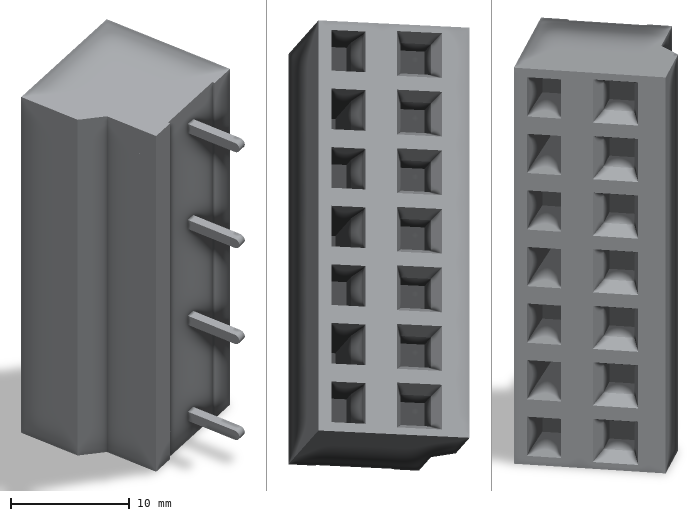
import cadquery as cq
import math

BLOCK_DEPTH = 12.48
BLOCK_WIDTH = 13.0
BLOCK_HEIGHT = 35.55

POLE_COUNT = 7
POLE_PITCH = BLOCK_HEIGHT / POLE_COUNT
TOP_Z = BLOCK_HEIGHT / 2
END_POLE_Z = (POLE_COUNT - 1) / 2 * POLE_PITCH

STEP_HEIGHT = 1.78
STEP_START = 5.73

CHANNEL_DEPTH = 0.2
CHANNEL_Y_MIN = 3.9
CHANNEL_Y_MAX = 10.67

WIRE_Y = 4.3
WIRE_MOUTH = 3.88
WIRE_BORE = 2.63
WIRE_FUNNEL_DEPTH = 1.65
WIRE_DEPTH = 4.25

SLOT_HEIGHT = 3.52
SLOT_Y_MIN = 8.95
SLOT_Y_MAX = 11.88
SLOT_LIP = 1.17
SLOT_RAMP_INSET = 0.4
SLOT_RAMP_ANGLE = 7.5
SLOT_DRAFT_ANGLE = 2.0
PINNED_SLOT_DEPTH = 6.05
PLAIN_SLOT_DEPTH = 10.67

PIN_SPACING = 2
PIN_Y = 7.33
PIN_WIDTH = 0.82
PIN_HEIGHT = 0.95
PIN_TIP_X = 17.5


def block():
    step_end = STEP_START + STEP_HEIGHT
    channel_x = BLOCK_DEPTH - CHANNEL_DEPTH
    outline = [
        (0, 0),
        (STEP_START, 0),
        (step_end, STEP_HEIGHT),
        (BLOCK_DEPTH, STEP_HEIGHT),
        (BLOCK_DEPTH, CHANNEL_Y_MIN),
        (channel_x, CHANNEL_Y_MIN),
        (channel_x, CHANNEL_Y_MAX),
        (BLOCK_DEPTH, CHANNEL_Y_MAX),
        (BLOCK_DEPTH, BLOCK_WIDTH),
        (0, BLOCK_WIDTH),
    ]
    return cq.Workplane("XY").polyline(outline).close().extrude(TOP_Z, both=True)


def wire_entry(z):
    mouth = cq.Workplane("YZ").center(WIRE_Y, z)
    funnel = (
        mouth.rect(WIRE_MOUTH, WIRE_MOUTH)
        .workplane(offset=WIRE_FUNNEL_DEPTH)
        .rect(WIRE_BORE, WIRE_BORE)
        .loft(ruled=True)
    )
    bore = mouth.rect(WIRE_BORE, WIRE_BORE).extrude(WIRE_DEPTH)
    return funnel.union(bore)


def release_slot(z, depth):
    ramp_end = SLOT_LIP + SLOT_RAMP_INSET / math.tan(math.radians(SLOT_RAMP_ANGLE))
    floor_y_min = SLOT_Y_MIN + SLOT_RAMP_INSET
    floor_y_max = SLOT_Y_MAX - (depth - SLOT_LIP) * math.tan(math.radians(SLOT_DRAFT_ANGLE))
    outline = [
        (0, SLOT_Y_MIN),
        (SLOT_LIP, SLOT_Y_MIN),
        (ramp_end, floor_y_min),
        (depth, floor_y_min),
        (depth, floor_y_max),
        (SLOT_LIP, SLOT_Y_MAX),
        (0, SLOT_Y_MAX),
    ]
    centre_plane = cq.Workplane("XY", origin=(0, 0, z))
    return centre_plane.polyline(outline).close().extrude(SLOT_HEIGHT / 2, both=True)


def solder_pin(z):
    tip_radius = PIN_HEIGHT / 2
    shank_start = BLOCK_DEPTH - CHANNEL_DEPTH
    return (
        cq.Workplane("XZ", origin=(0, PIN_Y, z))
        .moveTo(shank_start, -tip_radius)
        .lineTo(PIN_TIP_X - tip_radius, -tip_radius)
        .threePointArc((PIN_TIP_X, 0), (PIN_TIP_X - tip_radius, tip_radius))
        .lineTo(shank_start, tip_radius)
        .close()
        .extrude(PIN_WIDTH / 2, both=True)
    )


def terminal_strip():
    strip = block()
    for pole in range(POLE_COUNT):
        z = pole * POLE_PITCH - END_POLE_Z
        pinned = pole % PIN_SPACING == 0
        slot_depth = PINNED_SLOT_DEPTH if pinned else PLAIN_SLOT_DEPTH
        strip = strip.cut(wire_entry(z)).cut(release_slot(z, slot_depth))
        if pinned:
            strip = strip.union(solder_pin(z))
    return strip


def strip_section(strip, z_min, z_max):
    slab_size = 2 * BLOCK_HEIGHT
    slab = cq.Workplane("XY", origin=(0, 0, z_min)).rect(slab_size, slab_size).extrude(z_max - z_min)
    return strip.intersect(slab).solids()


strip = terminal_strip()
lower_end = strip_section(strip, -TOP_Z, -END_POLE_Z)
middle = strip_section(strip, -END_POLE_Z, END_POLE_Z)
upper_end = strip_section(strip, END_POLE_Z, TOP_Z)

result = cq.Compound.makeCompound([lower_end.val(), middle.val(), upper_end.val()])